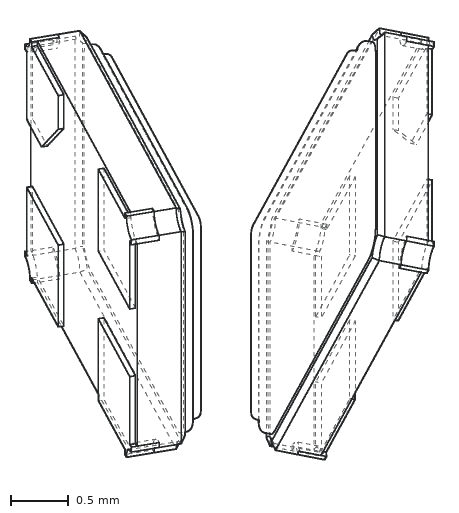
import cadquery as cq
import math


length = 3.2
width = 2.5
height = 0.7

pad_length = 1.0
pad_width = 0.9
pad_thickness = 0.05
pad_inset = 0.05
index_chamfer = 0.5
sleeve_wall = 0.05
sleeve_height = 0.25

notch_radius = 0.15
housing_chamfer = 0.05

lid_height = 0.2
tier_height = lid_height / 2
lid_corner_radius = 0.2
lid_round = tier_height / 2

housing_top = height - lid_height
housing_height = housing_top - pad_thickness
recess_radius = notch_radius + sleeve_wall

index_corner = (-1, 1)
corners = [(-1, -1), (1, -1), (1, 1), (-1, 1)]
corner_points = [(side_x * length / 2, side_z * width / 2) for side_x, side_z in corners]


def level(y):
    """Sketch plane with local axes X and Z at height y; negative extrusions rise toward +Y."""
    return cq.Workplane("XZ", origin=(0, y, 0))


def corner_discs(radius, disc_height):
    """Discs around the four package corners, rising from the bottom face."""
    return level(0).pushPoints(corner_points).circle(radius).extrude(-disc_height)


def notched_block(bottom, block_height):
    """Block of the full package outline with a round notch in each corner."""
    block = level(bottom).rect(length, width).extrude(-block_height)
    return block.cut(corner_discs(notch_radius, height))


def make_housing():
    housing = notched_block(pad_thickness, housing_height)
    housing = housing.faces(">Y").edges().chamfer(housing_chamfer)
    return housing.cut(corner_discs(recess_radius, sleeve_height))


def lid_slab(inset, slab_height):
    """Round-cornered slab on the housing, inset from the edge; all its corners share one center."""
    slab = level(housing_top).rect(length - 2 * inset, width - 2 * inset).extrude(-slab_height)
    return slab.edges("|Y").fillet(lid_corner_radius + tier_height - inset)


def make_lid():
    """Flat core inside a rim that is swept around it with an S-curved, stepped section."""
    core_inset = 2 * tier_height + lid_round
    core = lid_slab(core_inset, lid_height)
    rim_path = lid_slab(tier_height, tier_height).faces("<Y").wires()

    arc_middle = lid_round * math.sqrt(0.5)
    lower_x = -length / 2 + tier_height
    step_x = lower_x + lid_round
    upper_x = lower_x + tier_height
    core_x = -length / 2 + core_inset
    rim = (
        cq.Workplane("XY")
        .moveTo(core_x, housing_top)
        .lineTo(lower_x, housing_top)
        .lineTo(lower_x, housing_top + lid_round)
        .threePointArc(
            (step_x - arc_middle, housing_top + lid_round + arc_middle),
            (step_x, housing_top + tier_height),
        )
        .threePointArc(
            (step_x + arc_middle, height - lid_round - arc_middle),
            (upper_x, height - lid_round),
        )
        .threePointArc((core_x - arc_middle, height - lid_round + arc_middle), (core_x, height))
        .close()
        .sweep(rim_path)
    )
    return core.union(rim)


def make_terminal(side_x, side_z):
    """Flat pad joined to the sleeve that lines the corner notch beside it."""
    outer_x = side_x * (length / 2 - pad_inset)
    outer_z = side_z * (width / 2 - pad_inset)
    inner_x = side_x * (length / 2 - pad_length)
    inner_z = side_z * (width / 2 - pad_width)
    outline = [(inner_x, outer_z), (outer_x, outer_z), (outer_x, inner_z)]
    if (side_x, side_z) == index_corner:
        outline.append((inner_x + side_x * index_chamfer, inner_z))
        outline.append((inner_x, inner_z + side_z * index_chamfer))
    else:
        outline.append((inner_x, inner_z))
    pad = level(0).polyline(outline).close().extrude(-pad_thickness)

    corner = (side_x * length / 2, side_z * width / 2)
    sleeve = level(0).pushPoints([corner]).circle(recess_radius).extrude(-sleeve_height)
    return pad.union(sleeve).intersect(notched_block(0, sleeve_height))


housing = make_housing()
lid = make_lid()
terminals = [make_terminal(side_x, side_z) for side_x, side_z in corners]

result = cq.Compound.makeCompound(
    [housing.val(), lid.val(), *[terminal.val() for terminal in terminals]]
)